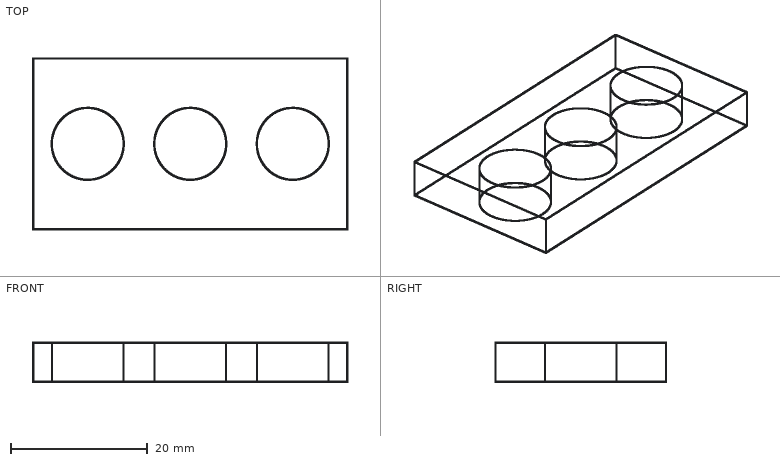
import cadquery as cq

length = 46.0
width = 25.0
thickness = 5.75

hole_diameter = 10.5
hole_count = 3
hole_pitch = 15.0


def make_plate():
    """Rectangular plate centred on the origin."""
    return cq.Workplane("XY").box(length, width, thickness)


def drill_hole_row(plate):
    """Cut the evenly spaced row of through holes."""
    return (
        plate.faces(">Z")
        .workplane()
        .rarray(hole_pitch, width, hole_count, 1)
        .hole(hole_diameter)
    )


result = drill_hole_row(make_plate())